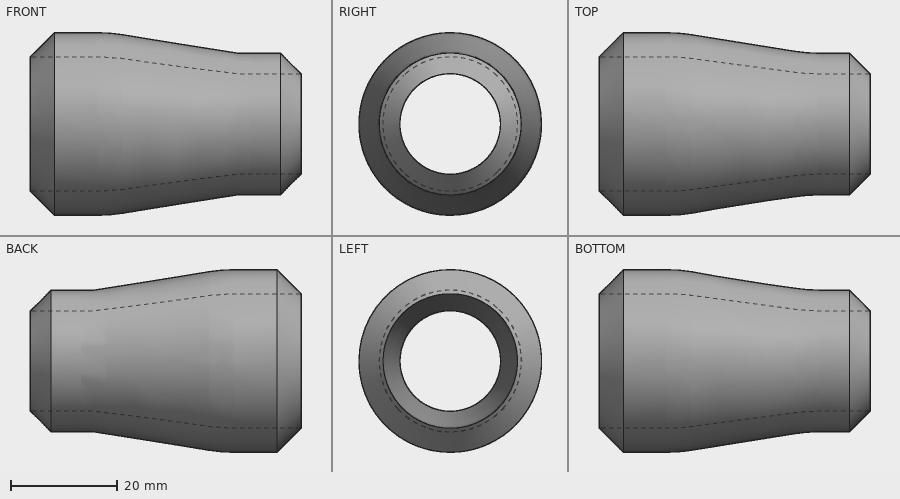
import cadquery as cq

length = 51.0
large_radius = 17.2
large_wall = 4.55
small_radius = 13.35
small_wall = 3.91

large_bevel = large_wall
small_bevel = small_wall

large_bend_x = 15.0
small_bend_x = length - 12.0
bend_radius = 30.0


def reducer_solid(large_r, small_r):
    """Two coaxial cylinders joined by a cone, with both bends rounded."""
    profile = (
        cq.Workplane("XY")
        .lineTo(0, large_r)
        .lineTo(large_bend_x, large_r)
        .lineTo(small_bend_x, small_r)
        .lineTo(length, small_r)
        .lineTo(length, 0)
        .close()
    )
    solid = profile.revolve(360, (0, 0, 0), (1, 0, 0))
    bend_region = cq.selectors.BoxSelector(
        (large_bend_x / 2, -large_r, -large_r),
        ((small_bend_x + length) / 2, large_r, large_r),
    )
    return solid.edges("%CIRCLE").edges(bend_region).fillet(bend_radius)


def bevel_ends(solid):
    """Cut the 45 degree weld bevel on each end."""
    solid = solid.faces("<X").chamfer(large_bevel)
    return solid.faces(">X").chamfer(small_bevel)


outside = bevel_ends(reducer_solid(large_radius, small_radius))
bore = reducer_solid(large_radius - large_wall, small_radius - small_wall)
result = outside.cut(bore)